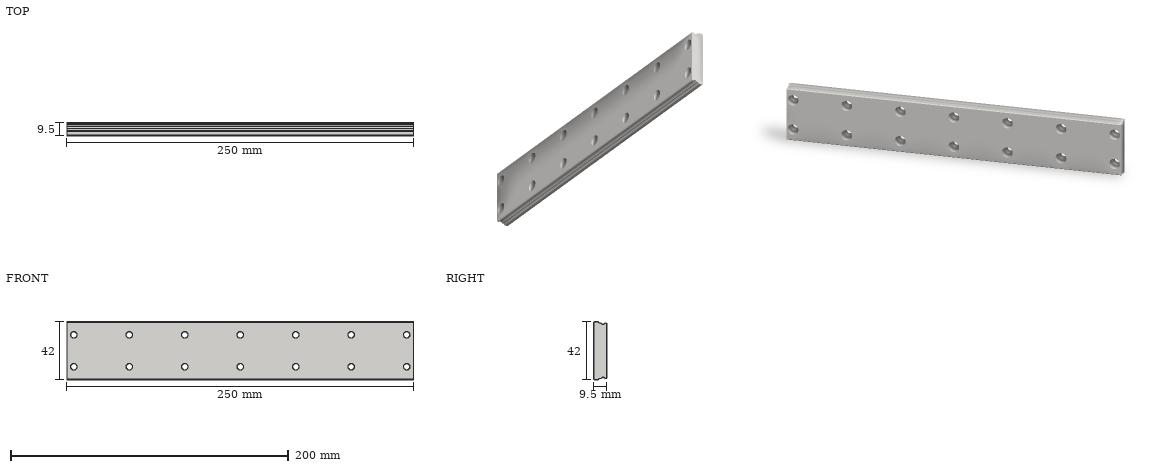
import cadquery as cq

length = 250.0
thickness = 9.5
height = 42.0

edge_drop = 0.9
corner_chamfer = 0.5
slope_start = 5.5
groove_center = slope_start / 2
groove_width = 3.0
groove_depth = 0.95
groove_flank_radius = 2.0

hole_count = 7
hole_pitch = 40.0
row_count = 2
row_spacing = 23.0
hole_diameter = 4.5
counterbore_diameter = 8.0
counterbore_depth = 4.5

back_y = thickness / 2
front_y = -back_y


def half_section():
    """Upper half of the cross-section: chamfered corners, pointed-arch groove and 45 degree step."""
    full_z = height / 2
    low_z = full_z - edge_drop
    groove_y = back_y - groove_center
    slope_y = back_y - slope_start
    return (
        cq.Workplane("YZ")
        .moveTo(back_y, 0)
        .lineTo(back_y, low_z - corner_chamfer)
        .lineTo(back_y - corner_chamfer, low_z)
        .lineTo(groove_y + groove_width / 2, low_z)
        .radiusArc((groove_y, low_z - groove_depth), groove_flank_radius)
        .radiusArc((groove_y - groove_width / 2, low_z), groove_flank_radius)
        .lineTo(slope_y, low_z)
        .lineTo(slope_y - edge_drop, full_z)
        .lineTo(front_y + corner_chamfer, full_z)
        .lineTo(front_y, full_z - corner_chamfer)
        .lineTo(front_y, 0)
    )


def plate():
    """Mirror the half section about Z = 0 and extrude it along X."""
    return half_section().mirrorX().extrude(length / 2, both=True)


def hole_cutters(diameter, depth):
    """Cylinders for every hole, reaching the given depth from the back face."""
    return (
        cq.Workplane("XZ", origin=(0, back_y, 0))
        .rarray(hole_pitch, row_spacing, hole_count, row_count)
        .circle(diameter / 2)
        .extrude(depth)
    )


through_holes = hole_cutters(hole_diameter, thickness)
counterbores = hole_cutters(counterbore_diameter, counterbore_depth)
result = plate().cut(through_holes).cut(counterbores)